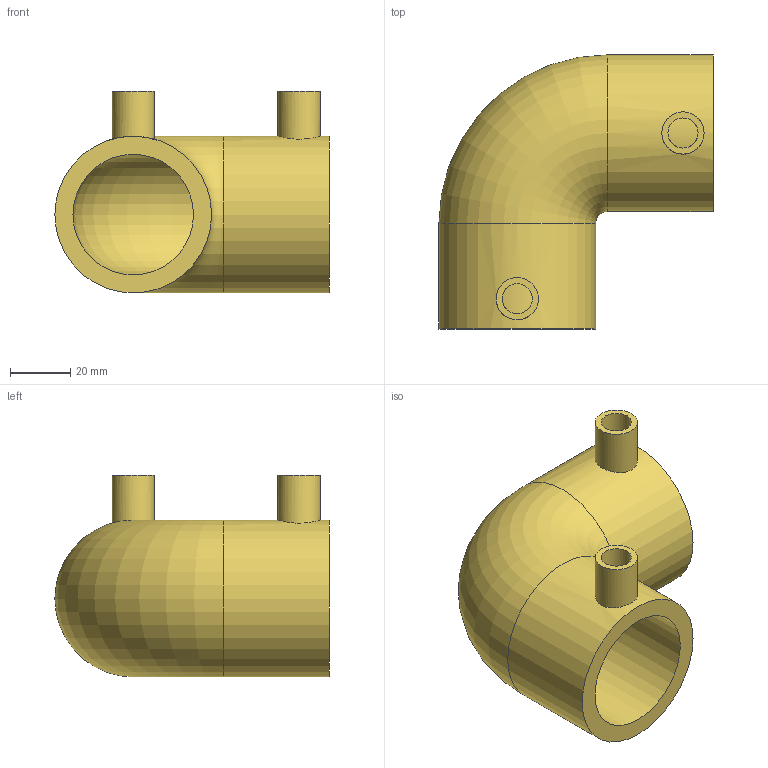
import cadquery as cq

pipe_outer_diameter = 52.0
pipe_bore_diameter = 40.0
bend_radius = 30.0
socket_length = 35.0

stub_outer_diameter = 14.0
stub_bore_diameter = 10.0
stub_end_offset = 10.0
stub_top_height = 41.0

pipe_outer_radius = pipe_outer_diameter / 2
pipe_bore_radius = pipe_bore_diameter / 2
leg_length = bend_radius + socket_length
stub_distance = leg_length - stub_end_offset

stub_centres = [(0, -stub_distance), (stub_distance, 0)]


def elbow(radius):
    """Solid round bar following both legs and the quarter bend between them."""
    leg_y = cq.Workplane("XZ", origin=(0, -bend_radius, 0)).circle(radius).extrude(socket_length)
    leg_x = cq.Workplane("YZ", origin=(bend_radius, 0, 0)).circle(radius).extrude(socket_length)
    bend = (
        cq.Workplane("XZ", origin=(0, -bend_radius, 0))
        .circle(radius)
        .revolve(90, (bend_radius, 0, 0), (bend_radius, -1, 0))
    )
    return leg_y.union(bend).union(leg_x)


def posts(diameter):
    """Upright cylinders at both stub positions, from the pipe axis to the stub tops."""
    return (
        cq.Workplane("XY")
        .pushPoints(stub_centres)
        .circle(diameter / 2)
        .extrude(stub_top_height)
    )


stubs = posts(stub_outer_diameter).cut(posts(stub_bore_diameter))
result = elbow(pipe_outer_radius).union(stubs).cut(elbow(pipe_bore_radius))